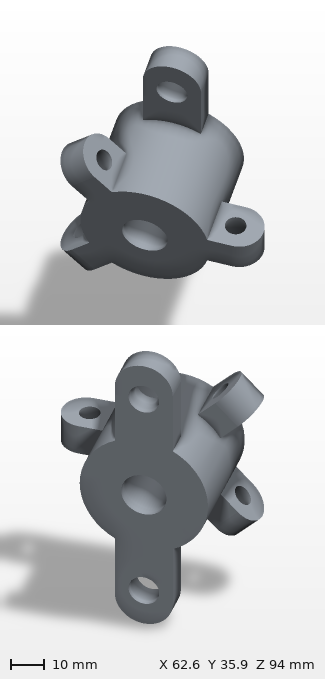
import cadquery as cq

hub_diameter = 40.0
hub_length = 35.9
bore_diameter = 14.1

lug_span = 94.0
lug_width = 18.05
lug_thickness = 7.9
lug_hole_diameter = 9.6
lug_hole_spacing = 69.9

ear_reach = 34.6
ear_width = 15.0
ear_thickness = 10.0
ear_hole_diameter = 6.4
ear_hole_radius = 25.9
ear_angles = (0, 135, 225)

rear_plane = cq.Workplane("XZ", origin=(0, hub_length, 0))


def make_lugs():
    """Round-ended bar across the hub that forms both mounting lugs."""
    bar = rear_plane.slot2D(lug_span, lug_width, 90).extrude(lug_thickness)
    holes = (
        rear_plane.pushPoints([(0, -lug_hole_spacing / 2), (0, lug_hole_spacing / 2)])
        .circle(lug_hole_diameter / 2)
        .extrude(lug_thickness)
    )
    return bar.cut(holes)


def make_ear(angle):
    """Round-ended ear, turned about the hub axis from +X towards +Z."""
    end_radius = ear_width / 2
    straight_end = ear_reach - end_radius
    inner_end = (bore_diameter + hub_diameter) / 4
    ear = (
        cq.Workplane("XY", origin=(0, 0, -ear_thickness / 2))
        .moveTo(inner_end, 0)
        .lineTo(straight_end, 0)
        .threePointArc((ear_reach, end_radius), (straight_end, ear_width))
        .lineTo(inner_end, ear_width)
        .close()
        .moveTo(ear_hole_radius, end_radius)
        .circle(ear_hole_diameter / 2)
        .extrude(ear_thickness)
    )
    return ear.rotate((0, 0, 0), (0, -1, 0), angle)


hub = rear_plane.circle(hub_diameter / 2).extrude(hub_length)
result = hub.union(make_lugs())
for ear_angle in ear_angles:
    result = result.union(make_ear(ear_angle))

bore = rear_plane.circle(bore_diameter / 2).extrude(hub_length)
result = result.cut(bore)